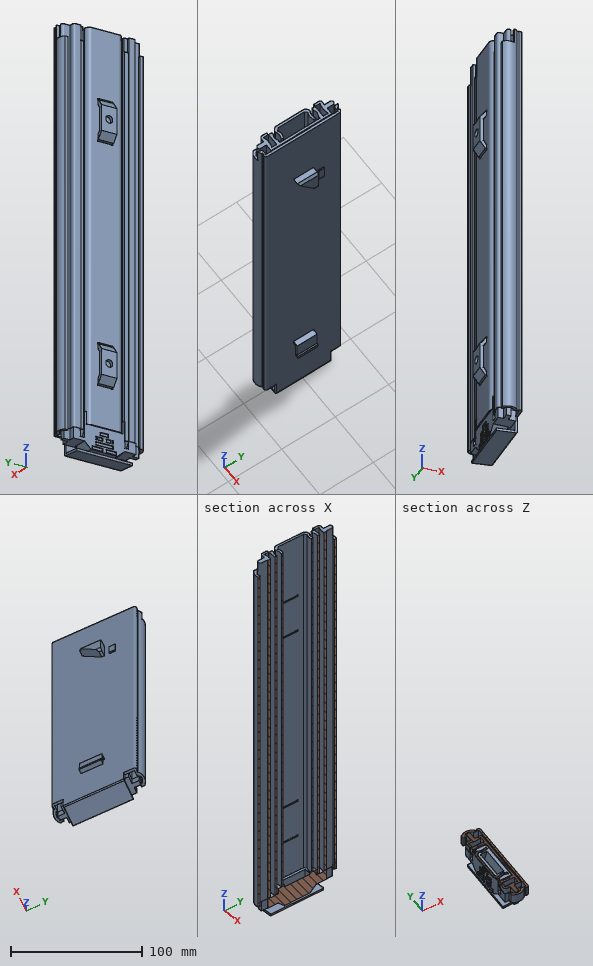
import cadquery as cq
import math


length = 355.6
half_height = 76.19 / 2
sheet = 2.1
notch_length = 12.0

flange_bottom_z = 16.0
shoulder_y = 35.7
web_corner = 2.0
groove_x = (-4.5, -2.9)
groove_depth = 0.6
cap_left_x = -16.5
lip_y = 32.8
lip_notch_x = -7.5
foot_half_width = 25.5
foot_reach = 17.3
foot_rise = 1.6
foot_corner = 1.0

mid_bottom_z = 19.3
mid_front_x = -17.6
mid_back_x = -2.7
mid_half_height = 28.5
mid_inner_y = 18.7
mid_step_y = 22.0
mid_step = 1.0
mid_corner = 2.0
race_depth = 1.0
neck_left_x = -12.6
neck_right_x = -8.8
neck_tip_y = 35.7

inner_bottom_z = 24.5
inner_front_x = -18.3
inner_back_x = -6.5
inner_half_height = 16.3
inner_flat_y = 12.3

bridge_half_width = 7.0
bridge_height = 5.3
bridge_thickness = 3.0
bridge_length = 33.4
bridge_foot_rise = 0.8
bridge_flat = 21.5
bridge_hole = 6.2
bridge_slit = 1.2
bridge_heights = (76.6, 280.0)

hook_half_width = 9.3
hook_depth = 30.39 - bridge_height + inner_front_x
hook_chamfer = 2.0
hook_tip_y = 7.0
hook_z = (279.2, 299.0)
tab_y = (13.5, 18.8)
tab_z = (279.2, 291.0)
tab_depth = 1.1
lever_top_z = 63.5
lever_drop = 0.8
lever_bottom_z = 46.8
lever_inner_x = 2.3
lever_outer_x = 4.7
lever_toe_x = 6.0
lever_toe_height = 2.8

stop_front_x = -17.2
stop_back_x = -5.0
stop_half_width = 18.4
stop_bottom_z = 4.3
stop_chamfer_y = 12.3
stop_ear_z = 10.0
stop_neck_y = 34.2
prong_y = (16.6, 18.4)
prong_top_z = 34.8
prong_thickness = 2.0
pocket_half_width = 12.0
pocket_x = (-14.0, -8.0)
pocket_bottom_z = 6.5
ear_recess_y = 22.0
ear_recess_z = 13.0
ear_recess_depth = 4.0
slot_depth = 1.0
slot_height = 2.6
slots = (
    (0.0, 19.4, 7.4),
    (-3.75, 15.1, 4.3),
    (3.75, 15.1, 4.3),
    (-7.6, 15.1, 0.9),
    (7.6, 15.1, 0.9),
    (0.0, 10.7, 16.0),
    (-6.3, 6.4, 9.4),
    (6.3, 6.4, 9.4),
)


def box(x, y, z):
    """Box between the (low, high) pairs given for each axis."""
    size = [high - low for low, high in (x, y, z)]
    return cq.Workplane("XY").box(*size, centered=False).translate((x[0], y[0], z[0]))


def both_sides(half):
    """The half built on the +Y side together with its mirror image."""
    return half.union(half.mirror("XZ"))


def plate_xz(points, half_width):
    """XZ outline extruded evenly to both sides of Y = 0."""
    return cq.Workplane("XZ").polyline(points).close().extrude(half_width, both=True)


def outer_half():
    """Half of the outer section: web, shoulder and the cap with its hanging lip."""
    cap_right_x, groove_right_x = groove_x
    crown_x = (cap_left_x + cap_right_x) / 2
    inner_left_x = cap_left_x + sheet
    inner_right_x = 2 * crown_x - inner_left_x
    groove_y = shoulder_y - groove_depth
    under_shoulder_y = shoulder_y - sheet
    profile = (
        cq.Workplane("XY", origin=(0, 0, flange_bottom_z))
        .moveTo(0, 0)
        .lineTo(0, shoulder_y - web_corner)
        .radiusArc((-web_corner, shoulder_y), -web_corner)
        .lineTo(groove_right_x, shoulder_y)
        .lineTo(groove_right_x, groove_y)
        .lineTo(cap_right_x, groove_y)
        .lineTo(cap_right_x, shoulder_y)
        .threePointArc((crown_x, half_height), (cap_left_x, shoulder_y))
        .lineTo(cap_left_x, lip_y)
        .lineTo(inner_left_x, lip_y)
        .lineTo(inner_left_x, under_shoulder_y)
        .threePointArc((crown_x, half_height - sheet), (inner_right_x, under_shoulder_y))
        .lineTo(-sheet, under_shoulder_y)
        .lineTo(-sheet, 0)
        .close()
    )
    flange = profile.extrude(length - flange_bottom_z)
    notch = box((cap_left_x - 1, lip_notch_x), (0, half_height + 1), (length - notch_length, length + 1))
    return flange.cut(notch)


def foot():
    """Web extension below the flanges, bent into a slightly sloping foot."""
    slope = foot_rise / foot_reach
    top_drop = sheet * math.hypot(1, slope)
    outline = [
        (0, flange_bottom_z),
        (0, foot_rise + foot_corner),
        (-foot_corner, foot_rise - slope * foot_corner),
        (-foot_reach, 0),
        (-foot_reach, top_drop),
        (-sheet, top_drop + foot_rise - slope * sheet),
        (-sheet, flange_bottom_z),
    ]
    return plate_xz(outline, foot_half_width)


def upper_hook():
    """Chamfered block on the mounting face, narrowed towards its lower end."""
    bottom_z, top_z = hook_z
    outline = [
        (-hook_half_width, top_z),
        (hook_half_width, top_z),
        (hook_half_width, bottom_z),
        (hook_tip_y, bottom_z),
    ]
    block = cq.Workplane("YZ").polyline(outline).close().extrude(hook_depth)
    return block.faces(">X").edges("|Y").chamfer(hook_chamfer)


def lower_lever():
    """Arm leaving the mounting face and hanging down to a toe."""
    toe_top_z = lever_bottom_z + lever_toe_height
    outline = [
        (0, lever_top_z),
        (lever_outer_x, lever_top_z - lever_drop),
        (lever_outer_x, toe_top_z),
        (lever_toe_x, toe_top_z),
        (lever_toe_x, lever_bottom_z),
        (lever_inner_x, lever_bottom_z),
        (lever_inner_x, lever_top_z - sheet - lever_drop),
        (0, lever_top_z - sheet),
    ]
    return plate_xz(outline, hook_half_width)


def make_outer_member():
    tab = box((0, tab_depth), tab_y, tab_z)
    return both_sides(outer_half()).union(foot()).union(upper_hook()).union(lower_lever()).union(tab)


def intermediate_half():
    """Half of the intermediate section: web, hollow rail and the neck reaching into the cap."""
    height = length - mid_bottom_z
    web_x = mid_back_x - sheet
    mid_x = (mid_front_x + mid_back_x) / 2
    plane = cq.Workplane("XY", origin=(0, 0, mid_bottom_z))
    rail = (
        plane.moveTo(mid_back_x, 0)
        .lineTo(mid_back_x, mid_half_height)
        .lineTo(mid_front_x + mid_corner, mid_half_height)
        .radiusArc((mid_front_x, mid_half_height - mid_corner), -mid_corner)
        .lineTo(mid_front_x, mid_step_y)
        .lineTo(mid_front_x + mid_step, mid_step_y)
        .lineTo(mid_front_x + mid_step, mid_inner_y)
        .lineTo(mid_front_x + 2 * sheet, mid_inner_y)
        .threePointArc((mid_x, mid_inner_y + race_depth), (web_x - sheet, mid_inner_y))
        .lineTo(web_x, mid_inner_y)
        .lineTo(web_x, 0)
        .close()
        .extrude(height)
    )
    cavity_bottom = mid_inner_y + race_depth + sheet
    cavity_top = mid_half_height - sheet
    cavity = (
        plane.moveTo(mid_front_x + sheet, cavity_bottom)
        .lineTo(web_x, cavity_bottom)
        .lineTo(web_x, cavity_top)
        .threePointArc((mid_x, cavity_top - race_depth), (mid_front_x + sheet, cavity_top))
        .close()
        .extrude(height)
    )
    neck_radius = (neck_right_x - neck_left_x) / 2
    neck = (
        plane.moveTo(neck_left_x, mid_half_height - 1)
        .lineTo(neck_left_x, neck_tip_y - neck_radius)
        .radiusArc((neck_right_x, neck_tip_y - neck_radius), neck_radius)
        .lineTo(neck_right_x, mid_half_height - 1)
        .close()
        .extrude(height)
    )
    notch = box(
        (mid_front_x - 1, mid_front_x + sheet),
        (mid_inner_y - 1, mid_step_y),
        (length - notch_length, length + 1),
    )
    return rail.cut(cavity).union(neck).cut(notch)


def make_intermediate_member():
    return both_sides(intermediate_half())


def inner_half():
    """Half of the inner channel with a rounded front edge and a hollowed flange."""
    corner = inner_half_height - inner_flat_y
    flange_x = inner_front_x + corner
    mid_x = (flange_x + inner_back_x) / 2
    under_y = inner_half_height - sheet
    return (
        cq.Workplane("XY", origin=(0, 0, inner_bottom_z))
        .moveTo(inner_front_x, 0)
        .lineTo(inner_front_x, inner_flat_y)
        .radiusArc((flange_x, inner_half_height), corner)
        .threePointArc((mid_x, inner_half_height - race_depth), (inner_back_x, inner_half_height))
        .lineTo(inner_back_x, under_y)
        .threePointArc((mid_x, under_y - race_depth), (flange_x, under_y))
        .lineTo(inner_front_x + sheet, inner_flat_y)
        .lineTo(inner_front_x + sheet, 0)
        .close()
        .extrude(length - inner_bottom_z)
    )


def bridge(centre_z):
    """Raised strap on the front of the inner web with a round hole in the middle."""
    half_foot = bridge_length / 2
    half_flat = bridge_flat / 2
    top_x = inner_front_x - bridge_height
    under_x = top_x + bridge_thickness
    under_flat = half_flat - bridge_thickness / 3
    leg_run = (half_foot - half_flat) / (bridge_height - bridge_foot_rise)
    under_foot = under_flat + leg_run * (inner_front_x - under_x)
    outline = [
        (inner_front_x, centre_z - half_foot),
        (inner_front_x - bridge_foot_rise, centre_z - half_foot),
        (top_x, centre_z - half_flat),
        (top_x, centre_z + half_flat),
        (inner_front_x - bridge_foot_rise, centre_z + half_foot),
        (inner_front_x, centre_z + half_foot),
        (inner_front_x, centre_z + under_foot),
        (under_x, centre_z + under_flat),
        (under_x, centre_z - under_flat),
        (inner_front_x, centre_z - under_foot),
    ]
    hole = (
        cq.Workplane("YZ", origin=(top_x, 0, centre_z))
        .circle(bridge_hole / 2)
        .extrude(bridge_thickness)
    )
    return plate_xz(outline, bridge_half_width).cut(hole)


def make_inner_member():
    member = both_sides(inner_half())
    slit_x = (inner_front_x, inner_front_x + sheet)
    slit_y = (-bridge_half_width, bridge_half_width)
    for centre_z in bridge_heights:
        top_z = centre_z + bridge_length / 2
        bottom_z = centre_z - bridge_length / 2
        member = member.union(bridge(centre_z))
        member = member.cut(box(slit_x, slit_y, (top_z, top_z + bridge_slit)))
        member = member.cut(box(slit_x, slit_y, (bottom_z - bridge_slit, bottom_z)))
    return member


def stop_pocket():
    """Wedge pocket open at the top of the stop, with a steep ramp for its back."""
    front_x, back_x = pocket_x
    outline = [
        (front_x, pocket_bottom_z),
        (front_x, inner_bottom_z),
        (back_x, inner_bottom_z),
    ]
    return plate_xz(outline, pocket_half_width)


def ear_recess():
    """Wedge cut under a sloping face, between the +Y ear and the body of the stop."""
    outline = [
        (stop_front_x, mid_bottom_z),
        (stop_front_x + ear_recess_depth, ear_recess_z),
        (stop_front_x, ear_recess_z),
    ]
    wedge = cq.Workplane("XZ", origin=(0, ear_recess_y, 0)).polyline(outline).close()
    return wedge.extrude(ear_recess_y - stop_half_width)


def make_end_stop():
    """Slotted block closing the bottom end, with ears under the intermediate member."""
    outline = [
        (-stop_chamfer_y, stop_bottom_z),
        (stop_chamfer_y, stop_bottom_z),
        (stop_half_width, stop_ear_z),
        (stop_half_width, inner_bottom_z),
        (-stop_half_width, inner_bottom_z),
        (-stop_half_width, stop_ear_z),
    ]
    stop = (
        cq.Workplane("YZ", origin=(stop_front_x, 0, 0))
        .polyline(outline)
        .close()
        .extrude(stop_back_x - stop_front_x)
    )
    ear_z = (stop_ear_z, mid_bottom_z)
    ear = box((stop_front_x, mid_back_x), (stop_half_width - 1, mid_half_height), ear_z)
    ear_neck = box((neck_left_x, neck_right_x), (stop_half_width, stop_neck_y), ear_z)
    prong = box(
        (stop_front_x, stop_front_x + prong_thickness),
        prong_y,
        (inner_bottom_z - 1, prong_top_z),
    )
    ear = ear.union(ear_neck).union(prong).cut(ear_recess())
    stop = stop.union(both_sides(ear)).cut(stop_pocket())
    for centre_y, centre_z, width in slots:
        slot = box(
            (stop_front_x, stop_front_x + slot_depth),
            (centre_y - width / 2, centre_y + width / 2),
            (centre_z - slot_height / 2, centre_z + slot_height / 2),
        )
        stop = stop.cut(slot)
    return stop


outer_member = make_outer_member()
intermediate_member = make_intermediate_member()
inner_member = make_inner_member()
end_stop = make_end_stop()

result = cq.Compound.makeCompound([
    outer_member.val(),
    intermediate_member.val(),
    inner_member.val(),
    end_stop.val(),
])